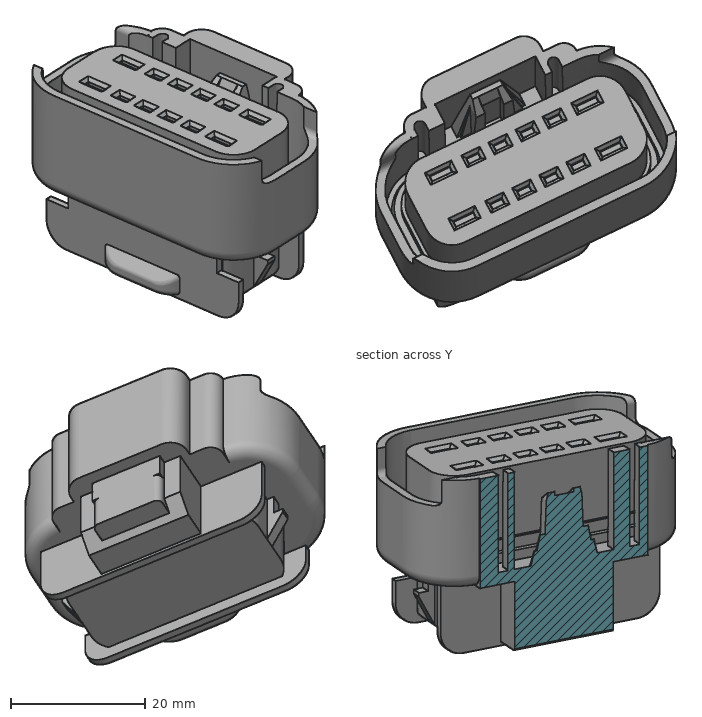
import cadquery as cq

CENTER_X = 13.85
CENTER_Y = 3.05

EMBED = 1.35

SHELL_RADIUS = 8.65
SHELL_HEIGHT = 17.58
FLOOR_WALL = 1.55
CAVITY_DRAFT = 0.6
FLOOR_Z = 2.02
BOTTOM_FILLET = 2.0

HOUSING_HALF = 9.75
HOUSING_Y = 17.5
HOUSING_FILLET = 2.8
EAR_HALF = 14.25
EAR_Y = 13.8
EAR_FILLET = 2.1
POCKET_HALF = 8.35
POCKET_Y = 13.6
EAR_SLOTS = [(-11.9, 1.8), (10.35, 1.7)]
EAR_SLOT_Y = 12.35

NOTCH_Y_MIN = -6.15
NOTCH_Y_MAX = 9.6
NOTCH_Z = 13.3
NOTCH_FILLET = 1.05

CORE_RADIUS = 4.23
CORE_TOP = 16.6
RIM_RADIUS = 4.8
RIM_TOP = 5.4
SEAL_RADIUS = 6.25
SEAL_TOP = 3.6
SEAL_TAPER = 14
SEAL_FLAT_Y = 8.7

ROW_Y = 3.95
SMALL_SLOT_X = [-6.75, -2.25, 2.25, 6.75]
SMALL_SLOT_LENGTH = 2.0
LARGE_SLOT_X = [-12.2, 12.2]
LARGE_SLOT_LENGTH = 3.33
SLOT_WIDTH = 1.0
FUNNEL = 0.55
SLOT_DEPTH = 1.1

LATCH_TOP = 13.95
LATCH_TOP_HALF = 2.5
LATCH_TOP_Y = 12.75
LATCH_BASE_HALF = 5.65
LATCH_BASE_Y = 11.7
SHOULDER_HALF = 5.12
SHOULDER_Y = 11.33
LEG_INNER = 1.57
LEG_BASE_OUTER = 3.45
LEG_KNEE_OUTER = 3.05
LEG_Y = 10.5
LEG_KNEE_Z = 11.95
PANEL_KNEE_Z = 12.23

PLATE_HALF = 18.55
PLATE_BOTTOM = -11.75
PLATE_FILLET = 3.85
PLATE_INNER = 6.5
PLATE_OUTER = 7.6
PLATE_NOTCH_X = 14.4
PLATE_NOTCH_Z = -4.35
BLOCK_HALF = 15.9
BLOCK_BOTTOM = -9.4
BLOCK_FILLET = 4.05

WEDGE_HALF_WIDTH = 0.8
WEDGE_RIB_X = 17.05
WEDGE_TOP = -3.75
WEDGE_RAMP_Z = -4.4

GRIP_HALF = 7.2
GRIP_CREST_HALF = 3.6
GRIP_Y = -9.4
GRIP_TOP = -7.65
GRIP_CREST_TOP = -9.3
GRIP_BOTTOM = -11.33
GRIP_TOP_FILLET = 0.75
GRIP_BOTTOM_FILLET = 1.0

MOUNT_HALF = 8.35
MOUNT_Y = 14.2
MOUNT_BOTTOM = -11.1
MOUNT_CHAMFER = 2.6
ARM_HALF = 5.65
ARM_Y = 15.65
ARM_STEP_Z = -4.15
ARM_BOTTOM = -10.15
ARM_FILLET = 1.0


def box(x_min, x_max, y_min, y_max, z_min, z_max):
    size = (x_max - x_min, y_max - y_min, z_max - z_min)
    return cq.Workplane("XY").box(*size, centered=False).translate((x_min, y_min, z_min))


def oval(radius, z_min, z_max, taper=0):
    """Rounded block; a positive taper narrows it upward, a negative one widens it."""
    length = 2 * (CENTER_X + radius)
    width = 2 * (CENTER_Y + radius)
    sketch = cq.Sketch().rect(length, width).vertices().fillet(radius)
    return cq.Workplane("XY", origin=(0, 0, z_min)).placeSketch(sketch).extrude(z_max - z_min, taper=taper)


def latch_block(base, base_z, top, top_z=LATCH_TOP):
    """Block on the pocket's back wall, leaning from base to top; each is (x_min, x_max, front_y)."""
    back = POCKET_Y + EMBED
    outlines = []
    for x_min, x_max, front_y in (base, top):
        outlines.append([(x_min, back), (x_min, front_y), (x_max, front_y), (x_max, back)])
    return (
        cq.Workplane("XY", origin=(0, 0, base_z))
        .polyline(outlines[0]).close()
        .workplane(offset=top_z - base_z)
        .polyline(outlines[1]).close()
        .loft(ruled=True)
    )


def make_shell():
    shell = oval(SHELL_RADIUS, 0, SHELL_HEIGHT).faces("<Z").edges().fillet(BOTTOM_FILLET)
    ears = box(-EAR_HALF, EAR_HALF, CENTER_Y, EAR_Y, 0, SHELL_HEIGHT)
    housing = box(-HOUSING_HALF, HOUSING_HALF, CENTER_Y, HOUSING_Y, 0, SHELL_HEIGHT)
    shell = shell.union(ears.edges("|Z and >Y").fillet(EAR_FILLET))
    shell = shell.union(housing.edges("|Z and >Y").fillet(HOUSING_FILLET))
    cavity_radius = SHELL_RADIUS - FLOOR_WALL
    shell = shell.cut(oval(cavity_radius, FLOOR_Z, SHELL_HEIGHT, -CAVITY_DRAFT))
    shell = shell.cut(box(-POCKET_HALF, POCKET_HALF, CENTER_Y, POCKET_Y, FLOOR_Z, SHELL_HEIGHT))
    for x, width in EAR_SLOTS:
        radius = width / 2
        end_y = EAR_SLOT_Y - radius
        shell = shell.cut(box(x - radius, x + radius, CENTER_Y, end_y, FLOOR_Z, SHELL_HEIGHT))
        end = cq.Workplane("XY", origin=(x, end_y, FLOOR_Z)).circle(radius).extrude(SHELL_HEIGHT - FLOOR_Z)
        shell = shell.cut(end)
    return shell


def end_notch(side):
    """Notch through one end wall; only the -X notch has rounded upper lips."""
    x_min, x_max = sorted((side * CENTER_X, side * (CENTER_X + SHELL_RADIUS)))
    notch = box(x_min, x_max, NOTCH_Y_MIN, NOTCH_Y_MAX, NOTCH_Z, SHELL_HEIGHT)
    notch = notch.edges("|X and <Z").fillet(NOTCH_FILLET)
    if side < 0:
        lip_z = SHELL_HEIGHT - NOTCH_FILLET
        for y, outward in ((NOTCH_Y_MIN, -1), (NOTCH_Y_MAX, 1)):
            center_y = y + outward * NOTCH_FILLET
            y_min, y_max = sorted((y, center_y))
            lip = box(x_min, x_max, y_min, y_max, lip_z, SHELL_HEIGHT)
            rod_start = cq.Workplane("YZ", origin=(x_min, center_y, lip_z))
            rod = rod_start.circle(NOTCH_FILLET).extrude(x_max - x_min)
            notch = notch.union(lip.cut(rod))
    return notch


def make_core():
    core = oval(CORE_RADIUS, 0, CORE_TOP)
    core = core.union(oval(RIM_RADIUS, 0, RIM_TOP))
    seal = oval(SEAL_RADIUS, FLOOR_Z, SEAL_TOP, SEAL_TAPER)
    seal = seal.cut(box(-CENTER_X, CENTER_X, SEAL_FLAT_Y, SEAL_FLAT_Y + EMBED, FLOOR_Z, SEAL_TOP))
    return core.union(seal)


def terminal_slot(x, y, length):
    mouth = (
        cq.Workplane("XY", origin=(x, y, CORE_TOP))
        .rect(length + 2 * FUNNEL, SLOT_WIDTH + 2 * FUNNEL)
        .workplane(offset=-FUNNEL)
        .rect(length, SLOT_WIDTH)
        .loft(ruled=True)
    )
    pit = cq.Workplane("XY", origin=(x, y, CORE_TOP)).rect(length, SLOT_WIDTH).extrude(-SLOT_DEPTH)
    return mouth.union(pit)


def make_latch():
    top = (-LATCH_TOP_HALF, LATCH_TOP_HALF, LATCH_TOP_Y)
    latch = latch_block((-LATCH_BASE_HALF, LATCH_BASE_HALF, LATCH_BASE_Y), FLOOR_Z, top)
    panel_top = (-LEG_INNER, LEG_INNER, LATCH_TOP_Y)
    latch = latch.union(latch_block((-LEG_INNER, LEG_INNER, LATCH_BASE_Y), PANEL_KNEE_Z, panel_top))
    latch = latch.union(box(-LEG_INNER, LEG_INNER, LATCH_BASE_Y, POCKET_Y, FLOOR_Z, PANEL_KNEE_Z))
    for side in (-1, 1):
        top_span = sorted((side * LEG_INNER, side * LATCH_TOP_HALF))
        shoulder_span = sorted((side * LEG_INNER, side * SHOULDER_HALF))
        knee_span = sorted((side * LEG_INNER, side * LEG_KNEE_OUTER))
        base_span = sorted((side * LEG_INNER, side * LEG_BASE_OUTER))
        leg_knee = (*knee_span, LEG_Y)
        leg_top = (*top_span, LATCH_TOP_Y)
        latch = latch.union(latch_block((*shoulder_span, SHOULDER_Y), FLOOR_Z, leg_top))
        latch = latch.union(latch_block(leg_knee, LEG_KNEE_Z, leg_top))
        latch = latch.union(latch_block((*base_span, LEG_Y), FLOOR_Z, leg_knee, LEG_KNEE_Z))
    return latch


def make_lower_body():
    block = box(-BLOCK_HALF, BLOCK_HALF, -PLATE_OUTER, PLATE_OUTER, BLOCK_BOTTOM, FLOOR_Z)
    body = block.edges("|Z").fillet(BLOCK_FILLET)
    thickness = PLATE_OUTER - PLATE_INNER
    for y in (-PLATE_OUTER, PLATE_INNER):
        plate = box(-PLATE_HALF, PLATE_HALF, y, y + thickness, PLATE_BOTTOM, EMBED)
        body = body.union(plate.edges("|Y and <Z").fillet(PLATE_FILLET))
    for side in (-1, 1):
        x_min, x_max = sorted((side * PLATE_NOTCH_X, side * PLATE_HALF))
        body = body.cut(box(x_min, x_max, -PLATE_OUTER, -PLATE_INNER, PLATE_NOTCH_Z, 0))
        body = body.union(snap_wedge(side))
    return body


def snap_wedge(side):
    profile = [
        (BLOCK_HALF - EMBED, EMBED), (WEDGE_RIB_X, EMBED),
        (WEDGE_RIB_X, WEDGE_TOP), (PLATE_HALF, WEDGE_TOP), (PLATE_HALF, WEDGE_RAMP_Z),
        (BLOCK_HALF, BLOCK_BOTTOM), (BLOCK_HALF - EMBED, BLOCK_BOTTOM),
    ]
    points = [(side * x, z) for x, z in profile]
    return cq.Workplane("XZ").polyline(points).close().extrude(WEDGE_HALF_WIDTH, both=True)


def make_grip():
    side_profile = [
        (-PLATE_INNER, GRIP_TOP), (-PLATE_OUTER, GRIP_TOP),
        (GRIP_Y, GRIP_CREST_TOP), (GRIP_Y, GRIP_BOTTOM), (-PLATE_INNER, GRIP_BOTTOM),
    ]
    bar = cq.Workplane("YZ").polyline(side_profile).close().extrude(GRIP_HALF, both=True)
    arc_run = GRIP_HALF - GRIP_CREST_HALF
    arc_rise = -PLATE_OUTER - GRIP_Y
    arc_radius = (arc_run**2 + arc_rise**2) / (2 * arc_rise)
    rounded_ends = (
        cq.Workplane("XY", origin=(0, 0, PLATE_BOTTOM))
        .moveTo(-GRIP_HALF, -PLATE_INNER)
        .lineTo(-GRIP_HALF, -PLATE_OUTER)
        .radiusArc((-GRIP_CREST_HALF, GRIP_Y), -arc_radius)
        .lineTo(GRIP_CREST_HALF, GRIP_Y)
        .radiusArc((GRIP_HALF, -PLATE_OUTER), -arc_radius)
        .lineTo(GRIP_HALF, -PLATE_INNER)
        .close()
        .extrude(-PLATE_BOTTOM)
    )
    grip = bar.intersect(rounded_ends)
    grip = grip.faces("<Z").edges("<Y or %CIRCLE").fillet(GRIP_BOTTOM_FILLET)
    return grip.edges("%ELLIPSE").fillet(GRIP_TOP_FILLET)


def make_latch_mount():
    mount = box(-MOUNT_HALF, MOUNT_HALF, PLATE_INNER, MOUNT_Y, MOUNT_BOTTOM, FLOOR_Z)
    mount = mount.edges("|X and >Y and <Z").chamfer(MOUNT_CHAMFER)
    arm = box(-ARM_HALF, ARM_HALF, PLATE_OUTER, ARM_Y, ARM_BOTTOM, ARM_STEP_Z)
    mount = mount.union(arm.edges("|Z and >Y").fillet(ARM_FILLET))
    return mount.union(box(-ARM_HALF, ARM_HALF, PLATE_OUTER, ARM_Y, ARM_STEP_Z, FLOOR_Z))


result = make_shell()
for end in (-1, 1):
    result = result.cut(end_notch(end))
result = result.union(make_core())
for row in (-ROW_Y, ROW_Y):
    for slot_x in SMALL_SLOT_X:
        result = result.cut(terminal_slot(slot_x, row, SMALL_SLOT_LENGTH))
    for slot_x in LARGE_SLOT_X:
        result = result.cut(terminal_slot(slot_x, row, LARGE_SLOT_LENGTH))
result = result.union(make_latch())
result = result.union(make_lower_body())
result = result.union(make_grip())
result = result.union(make_latch_mount())